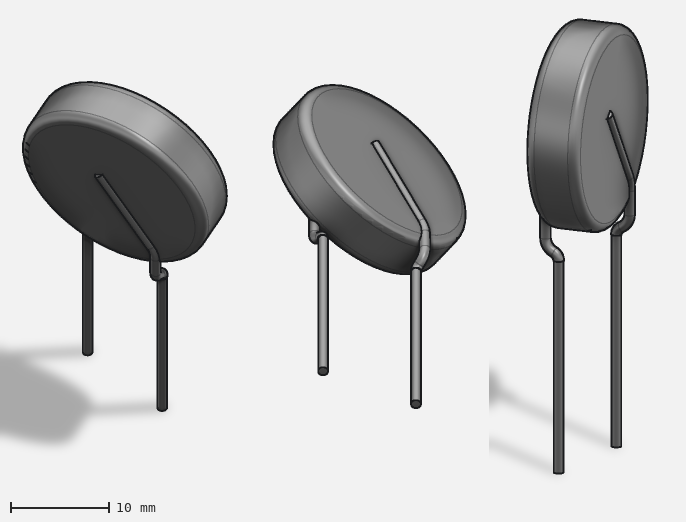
import cadquery as cq
import math

TOTAL_HEIGHT = 46.4
DISC_DIAMETER = 21.4
DISC_THICKNESS = 5.7
DISC_RIM_RADIUS = 1.0

COATED_DIAMETER = 1.1
COATED_OUTER_SPAN = 6.5
TIP_X = -1.5
TIP_Z = 1.95
SLANT_BEND_RADIUS = 2.8
SLANT_BEND_END_Z = -8.07
UPPER_ELBOW_RADIUS = 1.65
LOWER_ELBOW_RADIUS = 0.95

LEAD_DIAMETER = 1.0
LEAD_X = 5.0
LEAD_Y = -1.25

disc_radius = DISC_DIAMETER / 2
lead_end_z = disc_radius - TOTAL_HEIGHT
coated_y = -(COATED_OUTER_SPAN - COATED_DIAMETER) / 2
slant_bend_centre_x = LEAD_X - SLANT_BEND_RADIUS

elbow_start_z = -disc_radius
elbow_radii = UPPER_ELBOW_RADIUS + LOWER_ELBOW_RADIUS
elbow_angle = math.acos(1 - (LEAD_Y - coated_y) / elbow_radii)

lead_top_z = elbow_start_z - elbow_radii * math.sin(elbow_angle)


def slant_angle():
    """Angle from vertical of the line from the tip that touches the slant bend."""
    dx = slant_bend_centre_x - TIP_X
    dz = TIP_Z - SLANT_BEND_END_Z
    return math.atan2(dx, dz) + math.asin(SLANT_BEND_RADIUS / math.hypot(dx, dz))


def slant_bend_point(angle):
    """Point on the slant bend, with angle zero at its lower end."""
    x = slant_bend_centre_x + SLANT_BEND_RADIUS * math.cos(angle)
    z = SLANT_BEND_END_Z + SLANT_BEND_RADIUS * math.sin(angle)
    return cq.Vector(x, coated_y, z)


def upper_elbow_point(angle):
    """Point on the upper elbow, with angle zero at its upper end."""
    y = coated_y + UPPER_ELBOW_RADIUS * (1 - math.cos(angle))
    z = elbow_start_z - UPPER_ELBOW_RADIUS * math.sin(angle)
    return cq.Vector(LEAD_X, y, z)


def lower_elbow_point(angle):
    """Point on the lower elbow, with angle zero at its lower end."""
    y = LEAD_Y - LOWER_ELBOW_RADIUS * (1 - math.cos(angle))
    z = lead_top_z + LOWER_ELBOW_RADIUS * math.sin(angle)
    return cq.Vector(LEAD_X, y, z)


def make_coated_wire():
    """Front coated wire: a round bar swept along its bent centreline."""
    slant = slant_angle()
    tip = cq.Vector(TIP_X, coated_y, TIP_Z)
    slant_end = slant_bend_point(slant)
    slant_bend_end = slant_bend_point(0)
    elbow_start = upper_elbow_point(0)
    elbow_joint = upper_elbow_point(elbow_angle)
    elbow_end = lower_elbow_point(0)
    centreline = cq.Wire.assembleEdges([
        cq.Edge.makeLine(tip, slant_end),
        cq.Edge.makeThreePointArc(slant_end, slant_bend_point(slant / 2), slant_bend_end),
        cq.Edge.makeLine(slant_bend_end, elbow_start),
        cq.Edge.makeThreePointArc(elbow_start, upper_elbow_point(elbow_angle / 2), elbow_joint),
        cq.Edge.makeThreePointArc(elbow_joint, lower_elbow_point(elbow_angle / 2), elbow_end),
    ])
    tip_plane = cq.Plane(origin=tip, xDir=(0, 1, 0), normal=slant_end - tip)
    return cq.Workplane(tip_plane).circle(COATED_DIAMETER / 2).sweep(cq.Workplane(centreline))


def make_lead():
    """Front bare lead: a straight round wire hanging from the coated wire."""
    lead = cq.Workplane(origin=(LEAD_X, LEAD_Y, lead_end_z)).circle(LEAD_DIAMETER / 2)
    return lead.extrude(lead_top_z - lead_end_z)


def make_disc(sunken_wires):
    """Round-edged disc with a groove for each coated wire."""
    back_face = cq.Workplane("XZ", origin=(0, DISC_THICKNESS / 2, 0))
    disc = back_face.circle(disc_radius).extrude(DISC_THICKNESS)
    disc = disc.edges("%CIRCLE").fillet(DISC_RIM_RADIUS)
    for wire in sunken_wires:
        disc = disc.cut(wire)
    return disc


coated_wires = []
leads = []
for turn in (0, 180):
    coated_wires.append(make_coated_wire().rotate((0, 0, 0), (0, 0, 1), turn))
    leads.append(make_lead().rotate((0, 0, 0), (0, 0, 1), turn))

disc_body = make_disc(coated_wires)

result = cq.Compound.makeCompound([
    *disc_body.solids().vals(),
    *[wire.val() for wire in coated_wires],
    *[lead.val() for lead in leads],
])